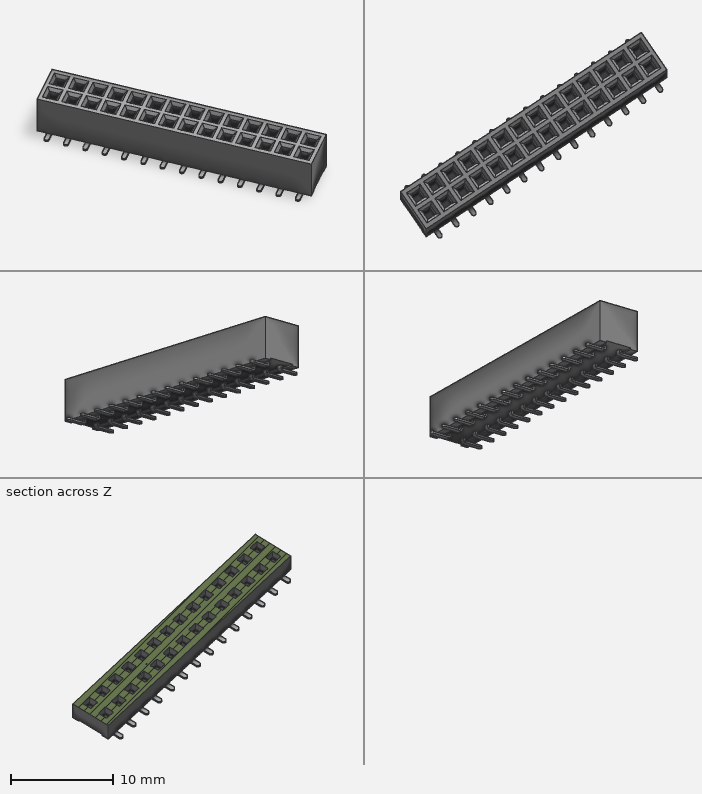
import cadquery as cq

length = 28.4
housing_width = 4.5
overall_height = 4.6
housing_height = 4.3
housing_bottom = overall_height - housing_height

contacts_per_row = 14
end_margin = 1.2
pitch = (length - 2 * end_margin) / (contacts_per_row - 1)

socket_mouth = 1.6
socket_hole = 1.0
lead_in_depth = 0.3
socket_depth = 3.4

channel_width = 2.9
channel_depth = 0.17
channel_roof = housing_bottom + channel_depth

lead_span = 6.2
lead_width = 0.48
lead_thickness = 0.2
leg_inner_y = 0.77
bend_inner_radius = 0.05
leg_embed = 0.28


def make_housing():
    """Rectangular block with a shallow channel along its underside."""
    underside = cq.Workplane("XY", origin=(0, 0, housing_bottom))
    body = underside.rect(length, housing_width).extrude(housing_height)
    channel = underside.rect(length, channel_width).extrude(channel_depth)
    return body.cut(channel)


def make_socket():
    """Cutter for one socket, with its mouth at the housing top."""
    lead_in = (
        cq.Workplane("XY", origin=(0, 0, overall_height))
        .rect(socket_mouth, socket_mouth)
        .workplane(offset=-lead_in_depth)
        .rect(socket_hole, socket_hole)
        .loft(ruled=True)
    )
    hole = (
        cq.Workplane("XY", origin=(0, 0, overall_height - socket_depth))
        .rect(socket_hole, socket_hole)
        .extrude(socket_depth - lead_in_depth)
    )
    return lead_in.union(hole)


def make_lead():
    """One L-shaped lead whose foot points toward +Y and ends in a round tip."""
    tip_y = lead_span / 2
    leg_outer_y = leg_inner_y + lead_thickness
    leg_top = channel_roof + leg_embed
    profile = [
        (leg_inner_y, 0),
        (tip_y, 0),
        (tip_y, lead_thickness),
        (leg_outer_y, lead_thickness),
        (leg_outer_y, leg_top),
        (leg_inner_y, leg_top),
    ]
    lead = cq.Workplane("YZ").polyline(profile).close().extrude(lead_width / 2, both=True)
    inner_corner = cq.selectors.NearestToPointSelector((0, leg_outer_y, lead_thickness))
    lead = lead.edges(inner_corner).fillet(bend_inner_radius)
    lead = lead.edges("|X and <Y and <Z").fillet(bend_inner_radius + lead_thickness)
    tip_radius = lead_width / 2
    straight_end = tip_y - tip_radius
    plan = (
        cq.Workplane("XY")
        .moveTo(-tip_radius, 0)
        .lineTo(tip_radius, 0)
        .lineTo(tip_radius, straight_end)
        .threePointArc((0, tip_y), (-tip_radius, straight_end))
        .close()
        .extrude(leg_top)
    )
    return lead.intersect(plan)


first_column = -(contacts_per_row - 1) / 2 * pitch
columns = [first_column + i * pitch for i in range(contacts_per_row)]
rows = [-pitch / 2, pitch / 2]

socket = make_socket().val()
rear_lead = make_lead().val()
front_lead = rear_lead.mirror("XZ")

result = make_housing()
sockets = [socket.translate(cq.Vector(x, y, 0)) for x in columns for y in rows]
result = result.cut(cq.Workplane(cq.Compound.makeCompound(sockets)))

leads = [lead.translate(cq.Vector(x, 0, 0)) for x in columns for lead in (front_lead, rear_lead)]
result = result.union(cq.Workplane(cq.Compound.makeCompound(leads)))